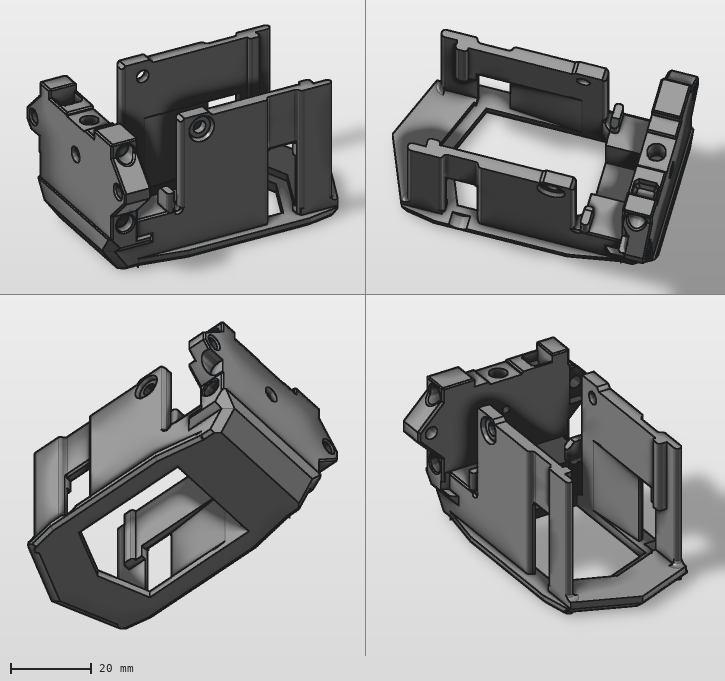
import cadquery as cq
TOTAL = 72.3
OVERLAP = 0.7

WALL_OUT = 16.85
WALL_IN = 13.5
WALL_FRONT = 21.25
WALL_TOP = 37.6
TAIL_THICK = 2.0
TAIL_END = 64.1
TAIL_START = 57.1
RECESS_X = 15.55
RECESS_Y = (46.85, 53.95)
RECESS_RAMP = 1.9
LINTEL_BEVEL = 0.6
WINDOW_Y = (46.2, 54.5)
WINDOW_TOP = 22.4
PAD_END = 30.0
PAD_RISE = 1.0
PAD_CHAMFER = 0.95
TAPER_START = 27.5
TAPER_DEPTH = 1.6
PIVOT_Y = 27.05
PIVOT_Z = 34.4
PIVOT_BORE = 3.4
PIVOT_SINK = 7.1
PIVOT_FLOOR = 6.0
PIVOT_SINK_DEPTH = 1.1
RIB_BOTTOM = 18.45
RIB_X = 12.45
RIB_Y = (56.55, 59.7)
RIB_ROUND = 0.9
CORNER = 0.9

FLANGE_X = 19.1
FLANGE_TOP = 2.4
FLANGE_SIDE = [(WALL_OUT, 9.1), (FLANGE_X, 22.2), (FLANGE_X, 56.4), (17.5, 65.1)]
FLANGE_CHAMFER = 0.95
TIP_SHOULDER = 65.5
ROOF_TOP = 4.2
BEVEL_RUN = 2.5
BEVEL_RISE = 2.25
INNER_APEX = 57.3
INNER_SIDE = 51.9
ROOF_SETBACK = 3.2
FOOT_R = 1.4

BLOCK_TOP = 13.3
BLOCK_END = 19.6
BLOCK_CHAMFER = 0.4
SILL_TOP = 13.45
SILL_IN = 11.3
GAP_BEVEL = 0.6
CHANNEL_X = (-6.3, 7.2)
NOSE_TOP = 10.8
NOSE_LOW = 6.1
NOSE_BACK = 4.35
CORNER_LEAN = 0.82
CORNER_TOP_X = 18.1
CORNER_LOW_X = 14.8
BODY_X = 18.6
LEDGE_TOP = 8.6
LEDGE_KNEE = 7.8
LEDGE_END = 13.2
SHOULDER_START = 7.6
SHOULDER_END = 8.9
POST_IN = 10.9
POST_FRONT = 17.5
POST_TOP = 18.4
POST_BEVEL = 1.95

PLATE_FRONT = 0.65
PLATE_BACK = 8.25
PLATE_TOP = 37.6
STEP_TOP = 35.35
SADDLE_TOP = 34.65
SADDLE_X = 4.6
LEFT_BLOCK_X = -13.45
RIGHT_BLOCK_X = 9.2
WING_SPAN = 50.8
WING_X = WING_SPAN / 2
WING_Z = (24.1, 27.0)
EDGE = 0.4
BACK_EDGE = 0.6
TOP_EDGE = 0.35

EYE_X = 21.8
EYE_Z = 25.95
EYE_BORE = 3.4
EYE_SINK = 4.4
SCREW_BORE = 2.1
SCREW_SINK = 4.2
MAGNET_BORE = 4.7
MAGNET_BEVEL = 0.35
MAGNET_DEPTH = 2.9
MAGNET_Y = 4.55
MAGNET_Z = (14.4, 34.35)
RELIEF_Z = 19.8
RELIEF_Y = 2.2
WELL_FLOOR = 27.05
WING_POCKET_Y = 5.7
WING_POCKET_Z = (21.8, 30.3)
WELL_SLOT_X = 1.7
WELL_SLOT_Y = (4.6, 6.65)
CABLE_X = (-13.45, -8.3)
CABLE_Y = (1.4, 7.7)
CABLE_FLOOR = 31.8
CABLE_BEVEL = 0.95

SCOOP_D = 6.0
SCOOP_Y = 50.4
SCOOP_Z = 4.35


def box(x, y, z):
    """Box between pairs of limits."""
    size = (x[1] - x[0], y[1] - y[0], z[1] - z[0])
    return cq.Workplane("XY").box(*size, centered=False).translate((x[0], y[0], z[0]))


def plan(points, z0, z1):
    """Outline in XY raised from z0 to z1."""
    return cq.Workplane("XY").workplane(offset=z0).polyline(points).close().extrude(z1 - z0)


def front_outline(points, y0, y1):
    """Outline in XZ running back from y0 to y1."""
    return cq.Workplane("XZ", origin=(0, y0, 0)).polyline(points).close().extrude(y0 - y1)


def side_outline(points, x0, x1):
    """Outline in YZ running from x0 to x1."""
    return cq.Workplane("YZ", origin=(x0, 0, 0)).polyline(points).close().extrude(x1 - x0)


def prism(points, vector):
    """Planar 3D outline swept straight along a vector."""
    wire = cq.Wire.makePolygon([cq.Vector(*p) for p in points], close=True)
    return cq.Workplane(cq.Solid.extrudeLinear(wire, [], cq.Vector(*vector)))


def rod(diameter, start, end):
    """Straight cylinder between two points."""
    axis = cq.Vector(*end) - cq.Vector(*start)
    return cq.Workplane(cq.Solid.makeCylinder(diameter / 2, axis.Length, cq.Vector(*start), axis))


def cone(d0, d1, start, direction, length):
    """Tapered round cutter from diameter d0 to d1."""
    return cq.Workplane(
        cq.Solid.makeCone(d0 / 2, d1 / 2, length, cq.Vector(*start), cq.Vector(*direction))
    )


def both_sides(shape):
    """Shape together with its mirror image on the other side."""
    return shape.union(shape.mirror("YZ"))


def mirrored(points):
    """Complete a +X half outline with its mirror image."""
    return points + [(-x, y) for x, y in reversed(points) if x != 0]


def base_frame():
    """Pointed flange with a raised roof at the rear point."""
    outline = mirrored(FLANGE_SIDE + [(WALL_OUT, TIP_SHOULDER), (0, TOTAL)])
    frame = plan(outline, 0, FLANGE_TOP)
    for sign in (1, -1):
        side = [(sign * x, y) for x, y in FLANGE_SIDE]
        for a, b in zip(side, side[1:]):
            frame = frame.cut(underside_bevel(a, b, FLANGE_CHAMFER, FLANGE_CHAMFER))
    roof = plan(mirrored([(WALL_OUT, INNER_SIDE + ROOF_SETBACK), (WALL_OUT, TIP_SHOULDER), (0, TOTAL)]),
                FLANGE_TOP, ROOF_TOP)
    frame = frame.union(roof)
    overshoot = 1.2
    bevel_y = TOTAL - overshoot * (TOTAL - TIP_SHOULDER)
    for sign in (1, -1):
        shoulder = (sign * overshoot * WALL_OUT, bevel_y)
        frame = frame.cut(underside_bevel((0, TOTAL), shoulder, BEVEL_RUN, BEVEL_RISE))
    return frame


def underside_bevel(a, b, run, rise):
    """Wedge that bevels the underside along the edge from a to b."""
    edge = cq.Vector(b[0] - a[0], b[1] - a[1], 0)
    normal = cq.Vector(-edge.y, edge.x, 0).normalized()
    centre = cq.Vector(0, TOTAL / 2, 0)
    start = cq.Vector(a[0], a[1], 0)
    if normal.dot(centre - start) < 0:
        normal = normal * -1
    inner = start + normal * run
    outer = start - normal * run
    top = outer + cq.Vector(0, 0, 2 * rise)
    return prism([inner.toTuple(), outer.toTuple(), top.toTuple()], edge.toTuple())


def pointed_hole(setback, z0, z1):
    """Opening between the walls whose pointed rear edge is moved back by a setback."""
    points = [(WALL_IN, BLOCK_END), (WALL_IN, INNER_SIDE + setback), (0, INNER_APEX + setback)]
    return plan(mirrored(points), z0, z1)


def frame_opening():
    """Open middle of the frame; the roof steps back from the flange edge."""
    return pointed_hole(0, 0, FLANGE_TOP).union(pointed_hole(ROOF_SETBACK, FLANGE_TOP, ROOF_TOP))


def wall():
    """Side wall with pad, rib, recess, window and pivot hole."""
    tail_in = WALL_OUT - TAIL_THICK
    tail_mid = WALL_OUT - TAIL_THICK / 2
    tail_y = TAIL_END - TAIL_THICK / 2
    ramp_mid = (WALL_OUT + RECESS_X) / 2
    half_ramp = RECESS_RAMP / 2
    body = (
        cq.Workplane("XY")
        .moveTo(WALL_IN, WALL_FRONT + CORNER)
        .radiusArc((WALL_IN + CORNER, WALL_FRONT), -CORNER)
        .lineTo(WALL_OUT - CORNER, WALL_FRONT)
        .radiusArc((WALL_OUT, WALL_FRONT + CORNER), -CORNER)
        .lineTo(WALL_OUT, RECESS_Y[0] - RECESS_RAMP)
        .tangentArcPoint((ramp_mid, RECESS_Y[0] - half_ramp), relative=False)
        .tangentArcPoint((RECESS_X, RECESS_Y[0]), relative=False)
        .lineTo(RECESS_X, RECESS_Y[1])
        .tangentArcPoint((ramp_mid, RECESS_Y[1] + half_ramp), relative=False)
        .tangentArcPoint((WALL_OUT, RECESS_Y[1] + RECESS_RAMP), relative=False)
        .lineTo(WALL_OUT, tail_y)
        .threePointArc((tail_mid, TAIL_END), (tail_in, tail_y))
        .lineTo(tail_in, TAIL_START)
        .lineTo(WALL_IN, TAIL_START)
        .close()
        .extrude(WALL_TOP + PAD_RISE)
    )
    side = [(0, 0), (WALL_FRONT, 0), (WALL_FRONT, WALL_TOP),
            (WALL_FRONT + PAD_CHAMFER, WALL_TOP + PAD_RISE), (PAD_END - PAD_CHAMFER, WALL_TOP + PAD_RISE),
            (PAD_END, WALL_TOP), (TOTAL, WALL_TOP), (TOTAL, 0)]
    body = body.intersect(side_outline(side, 0, FLANGE_X))
    hollow = box((WALL_IN, tail_in), (WINDOW_Y[1], TAIL_START), (ROOF_TOP, RIB_BOTTOM))
    taper = plan([(WALL_IN, TAPER_START), (WALL_IN + TAPER_DEPTH, WINDOW_Y[0]), (WALL_IN, WINDOW_Y[0])],
                 FLANGE_TOP, WINDOW_TOP)
    rib = box((RIB_X, tail_in), RIB_Y, (RIB_BOTTOM, WALL_TOP)).edges("|Z and <X").fillet(RIB_ROUND)
    foot_fillet = (
        cq.Workplane("XZ")
        .lineTo(TAIL_THICK / 2 + FOOT_R, 0)
        .radiusArc((TAIL_THICK / 2, FOOT_R), FOOT_R)
        .lineTo(0, FOOT_R)
        .close()
        .revolve(360, (0, 0), (0, 1))
        .translate((tail_mid, tail_y, ROOF_TOP))
        .intersect(box((0, WALL_OUT), (tail_y, TOTAL), (0, WALL_TOP)))
    )
    window = box((RIB_X, FLANGE_X), WINDOW_Y, (FLANGE_TOP, WINDOW_TOP))
    lintel = front_outline([(RECESS_X, WINDOW_TOP), (RECESS_X, WINDOW_TOP + LINTEL_BEVEL),
                            (RECESS_X - LINTEL_BEVEL, WINDOW_TOP)], *WINDOW_Y)
    pivot = rod(PIVOT_BORE, (0, PIVOT_Y, PIVOT_Z), (FLANGE_X, PIVOT_Y, PIVOT_Z))
    sink = cone(PIVOT_SINK, PIVOT_FLOOR, (WALL_OUT, PIVOT_Y, PIVOT_Z), (-1, 0, 0),
                PIVOT_SINK_DEPTH)
    body = body.cut(hollow).cut(taper).union(rib).union(foot_fillet)
    return body.cut(window).cut(lintel).cut(pivot).cut(sink)


def front_block():
    """Block between the walls with its side ledges, beveled nose, channel and posts."""
    nose = [(0, NOSE_TOP), (0, NOSE_LOW), (NOSE_BACK, 0), (BLOCK_END, 0), (BLOCK_END, BLOCK_TOP),
            (PLATE_FRONT + OVERLAP, BLOCK_TOP), (PLATE_FRONT + OVERLAP, NOSE_TOP)]
    block = side_outline(nose, -WALL_OUT, WALL_OUT)
    block = block.edges("|Y and >Z").chamfer(BLOCK_CHAMFER)
    block = block.edges("|Y and <Z").chamfer(FLANGE_CHAMFER)
    block = block.cut(box(CHANNEL_X, (PLATE_BACK, BLOCK_END), (FLANGE_TOP, BLOCK_TOP)))
    knee = [(BODY_X, LEDGE_KNEE), (WALL_OUT, NOSE_LOW), (0, NOSE_LOW)]
    cap = front_outline([(0, NOSE_TOP), (BODY_X, NOSE_TOP)] + knee, 0, SHOULDER_START)
    ledge_run = BODY_X - WALL_OUT
    ledge = front_outline([(WALL_OUT - OVERLAP, LEDGE_TOP), (BODY_X, LEDGE_TOP)] + knee[:2]
                          + [(WALL_OUT - OVERLAP, NOSE_LOW)], PLATE_FRONT + OVERLAP, LEDGE_END)
    ledge = ledge.cut(plan([(WALL_OUT, LEDGE_END), (BODY_X, LEDGE_END), (BODY_X, LEDGE_END - ledge_run)],
                           0, BLOCK_TOP))
    sill_front = BLOCK_END - OVERLAP
    sill_back = WALL_FRONT + CORNER + OVERLAP
    sill = plan([(WALL_OUT, sill_front), (WALL_OUT, sill_back), (WALL_IN, sill_back),
                 (WALL_IN, WALL_FRONT + CORNER), (SILL_IN, BLOCK_END), (SILL_IN, sill_front)], 0, SILL_TOP)
    post_foot = BLOCK_TOP - OVERLAP
    post = front_outline([(WALL_OUT, post_foot), (WALL_OUT, POST_TOP), (POST_IN + POST_BEVEL, POST_TOP),
                          (POST_IN, POST_TOP - POST_BEVEL), (POST_IN, post_foot)], POST_FRONT, BLOCK_END)
    post = post.edges("|Z").fillet(CORNER)
    shoulder = plan([(WALL_OUT - OVERLAP, SHOULDER_START), (BODY_X, SHOULDER_START), (WALL_OUT, SHOULDER_END),
                     (WALL_OUT - OVERLAP, SHOULDER_END)], LEDGE_TOP, BLOCK_TOP)
    extras = both_sides(cap.union(ledge).union(sill.cut(gap())).union(post).union(shoulder))
    return block.union(extras).cut(both_sides(nose_corner()))


def gap():
    """Round-bottomed gap between post and wall, with a beveled rim on the outer face."""
    width = WALL_FRONT - BLOCK_END
    y = BLOCK_END + width / 2
    bore = rod(width, (0, y, SILL_TOP), (WALL_OUT, y, SILL_TOP))
    rim = cone(width + 2 * GAP_BEVEL, width, (WALL_OUT, y, SILL_TOP), (-1, 0, 0), GAP_BEVEL)
    return bore.union(rim)


def nose_corner():
    """Wedges that bevel the upright corner of the nose, above and below its bend."""
    depth = 7.2
    ahead = 1.45

    def triangle(x, z):
        return [(x - CORNER_LEAN * ahead, -ahead, z), (x + CORNER_LEAN * depth, depth, z),
                (x + 2 * depth, -ahead, z)]

    upper = prism(triangle(CORNER_TOP_X, NOSE_TOP), (CORNER_LOW_X - CORNER_TOP_X, 0, NOSE_LOW - NOSE_TOP))
    lower = prism(triangle(CORNER_LOW_X, NOSE_LOW), (0, NOSE_BACK, -NOSE_LOW))
    return upper.union(lower)


def front_plate():
    """Winged plate with beveled rim, stepped top and upper magnet bores."""
    rise = WING_X - BODY_X
    outline = [(-BODY_X, NOSE_TOP), (-BODY_X, WING_Z[0] - rise), (-WING_X, WING_Z[0]), (-WING_X, WING_Z[1]),
               (-BODY_X, WING_Z[1] + rise), (-BODY_X, PLATE_TOP), (LEFT_BLOCK_X, PLATE_TOP),
               (LEFT_BLOCK_X, STEP_TOP), (RIGHT_BLOCK_X, STEP_TOP), (RIGHT_BLOCK_X, PLATE_TOP),
               (BODY_X, PLATE_TOP), (BODY_X, WING_Z[1] + rise), (WING_X, WING_Z[1]), (WING_X, WING_Z[0]),
               (BODY_X, WING_Z[0] - rise), (BODY_X, NOSE_TOP)]
    plate = front_outline(outline, PLATE_FRONT, PLATE_BACK)
    plate = plate.faces("<Y").edges("not <Z").chamfer(EDGE)
    rim_start = BODY_X - OVERLAP
    rim_end = WING_X + OVERLAP
    right_rim = cq.selectors.BoxSelector((rim_start, 0, NOSE_TOP), (rim_end, TOTAL, PLATE_TOP))
    left_rim = cq.selectors.BoxSelector((-rim_end, 0, NOSE_TOP), (-rim_start, TOTAL, PLATE_TOP))
    plate = plate.faces(">Y").edges(right_rim + left_rim).chamfer(BACK_EDGE)
    plate = plate.faces(">Z").edges("not <Y").chamfer(TOP_EDGE)
    flare = SADDLE_X + EDGE
    saddle = mirrored([(SADDLE_X, SADDLE_TOP), (SADDLE_X, STEP_TOP - EDGE), (flare, STEP_TOP),
                       (flare, PLATE_TOP)])
    plate = plate.cut(front_outline(saddle, 0, PLATE_BACK))
    return bore_magnets(plate)


def magnet_bore(z):
    """Pair of blind side bores, open sideways past the wing slopes."""
    return both_sides(rod(MAGNET_BORE, (BODY_X - MAGNET_DEPTH, MAGNET_Y, z), (WING_X, MAGNET_Y, z)))


def bore_magnets(plate):
    """Cut the upper magnet bores and bevel their mouths on the side faces and wing slopes."""
    plate = plate.cut(magnet_bore(MAGNET_Z[1]))
    reach = MAGNET_BORE / 2 + MAGNET_BEVEL
    for x in (-WING_X, BODY_X - OVERLAP):
        near = cq.selectors.BoxSelector(
            (x, MAGNET_Y - reach, MAGNET_Z[1] - reach),
            (x + WING_X - BODY_X + OVERLAP, MAGNET_Y + reach, MAGNET_Z[1] + reach), boundingbox=True)
        plate = plate.edges(near).chamfer(MAGNET_BEVEL)
    return plate


def plate_cuts():
    """Everything removed from the front plate."""
    eye = rod(EYE_BORE, (EYE_X, 0, EYE_Z), (EYE_X, PLATE_BACK, EYE_Z))
    eye_depth = (EYE_SINK - EYE_BORE) / 2
    eye = eye.union(cone(EYE_SINK, EYE_BORE, (EYE_X, PLATE_FRONT, EYE_Z), (0, 1, 0), eye_depth))
    cuts = both_sides(eye)
    lower_mouth = cone(MAGNET_BORE + 2 * MAGNET_BEVEL, MAGNET_BORE, (BODY_X, MAGNET_Y, MAGNET_Z[0]),
                       (-1, 0, 0), MAGNET_BEVEL)
    cuts = cuts.union(magnet_bore(MAGNET_Z[0])).union(both_sides(lower_mouth))
    screw = rod(SCREW_BORE, (0, 0, EYE_Z), (0, PLATE_BACK, EYE_Z))
    screw_depth = (SCREW_SINK - SCREW_BORE) / 2
    screw = screw.union(cone(SCREW_SINK, SCREW_BORE, (0, PLATE_FRONT, EYE_Z), (0, 1, 0), screw_depth))
    well = rod(MAGNET_BORE, (0, MAGNET_Y, WELL_FLOOR), (0, MAGNET_Y, PLATE_TOP))
    slot = box((-WELL_SLOT_X / 2, WELL_SLOT_X / 2), WELL_SLOT_Y, (EYE_Z, WELL_FLOOR))
    relief = rod(MAGNET_BORE, (-WING_X, RELIEF_Y, RELIEF_Z), (-BODY_X, RELIEF_Y, RELIEF_Z))
    relief = relief.union(box((-WING_X, -BODY_X), (0, RELIEF_Y),
                              (RELIEF_Z - MAGNET_BORE / 2, RELIEF_Z + MAGNET_BORE / 2)))
    wing_pocket = side_outline([(WING_POCKET_Y, WING_POCKET_Z[0]), (WING_POCKET_Y, WING_POCKET_Z[1]),
                                (PLATE_BACK, WING_POCKET_Z[1] + PLATE_BACK - WING_POCKET_Y),
                                (PLATE_BACK, WING_POCKET_Z[0])], -WING_X, -BODY_X)
    cable = box(CABLE_X, CABLE_Y, (CABLE_FLOOR, PLATE_TOP)).edges("|Z and >X").chamfer(CABLE_BEVEL)
    cable = cable.faces("<Z").edges("not <X").chamfer(CABLE_BEVEL)
    for feature in (screw, well, slot, relief, wing_pocket, cable):
        cuts = cuts.union(feature)
    return cuts


frame = base_frame().union(both_sides(wall())).union(front_block())
scoop = rod(SCOOP_D, (-FLANGE_X, SCOOP_Y, SCOOP_Z), (-RECESS_X, SCOOP_Y, SCOOP_Z))
frame = frame.cut(frame_opening()).cut(scoop)
result = frame.union(front_plate()).cut(plate_cuts())